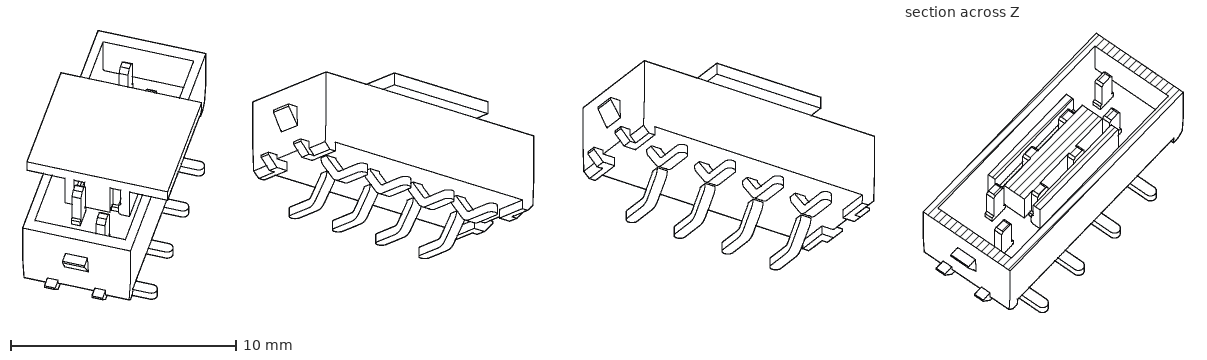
import cadquery as cq
import math

BODY_WIDTH = 4.99
BODY_LENGTH = 12.21
BODY_TOP = 4.58
BODY_BOTTOM = 1.4
DRAFT_START = 2.59
DRAFT_INSET = 0.08
CAVITY_WIDTH = 4.18
CAVITY_LENGTH = 11.04
CAVITY_FLOOR = 2.66
FLOOR_FILLET = 0.09

FOOT_BOTTOM = 0.99
FOOT_LENGTH = 0.61
FOOT_INNER_X = 0.85
FOOT_CHAMFER = 0.29
LATCH_REACH = 0.49
LATCH_LIP = 0.1
LATCH_WIDTH = 0.5
LATCH_TOP = 1.6
WEDGE_TOP = 3.5
WEDGE_TOP_WIDTH = 1.02
WEDGE_BASE_WIDTH = 1.1

CONTACT_ROW_LENGTH = 8.89
CONTACT_COUNT = 8
PITCH = CONTACT_ROW_LENGTH / (CONTACT_COUNT - 1)
CONTACT_X = 0.74
CONTACT_THICKNESS = 0.41
PIN_LENGTH = 0.71
PIN_TOP = BODY_TOP
PIN_BEVEL = 0.21
PIN_BASE_LENGTH = 0.94
PIN_BASE_TOP = 2.97
PIN_SHOULDER_DROP = 0.05
LEG_WIDTH = 0.53
LEG_SPAN = 6.5
LEG_BEND_RADIUS = 0.2
LEG_SLOPE = math.radians(51)

CAP_WIDTH = 6.5
CAP_LENGTH = 5.51
CAP_TOP = 5.15
COMB_WIDTH = 2.98
COMB_BOTTOM = 2.95
SLOT_INNER_X = 0.58
SLOT_OUTER_X = 1.08
GRIP_X = 0.98
GRIP_TOP = 3.63
GRIP_TOP_DROP = 0.1
GRIP_CHAMFER = 0.09


def box(x0, x1, y0, y1, z0, z1):
    return cq.Workplane("XY").box(x1 - x0, y1 - y0, z1 - z0, centered=False).translate((x0, y0, z0))


def extrude_along_x(points, width, x_center):
    """Extrude a (y, z) outline symmetrically about x_center."""
    return cq.Workplane("YZ").polyline(points).close().extrude(width / 2, both=True).translate((x_center, 0, 0))


def extrude_along_y(points, length):
    """Extrude an (x, z) outline symmetrically about y = 0."""
    return cq.Workplane("XZ").polyline(points).close().extrude(length / 2, both=True)


def make_housing():
    half_width = BODY_WIDTH / 2
    half_length = BODY_LENGTH / 2
    outline = [
        (-half_width, BODY_TOP),
        (half_width, BODY_TOP),
        (half_width, DRAFT_START),
        (half_width - DRAFT_INSET, FOOT_BOTTOM),
        (DRAFT_INSET - half_width, FOOT_BOTTOM),
        (-half_width, DRAFT_START),
    ]
    housing = extrude_along_y(outline, BODY_LENGTH)
    housing = housing.faces("<Z").edges("|X").chamfer(FOOT_CHAMFER)

    foot_start = half_length - FOOT_LENGTH
    housing = housing.cut(box(-half_width, half_width, -foot_start, foot_start, FOOT_BOTTOM, BODY_BOTTOM))
    housing = housing.cut(
        box(-FOOT_INNER_X, FOOT_INNER_X, -half_length, half_length, FOOT_BOTTOM, BODY_BOTTOM)
    )
    return housing.cut(make_cavity())


def make_cavity():
    half_width = CAVITY_WIDTH / 2
    half_length = CAVITY_LENGTH / 2
    cavity = box(-half_width, half_width, -half_length, half_length, CAVITY_FLOOR, BODY_TOP)
    return cavity.faces("<Z").edges("|Y").fillet(FLOOR_FILLET)


def make_foot_latch(x_center):
    """Hooked latch on the +Y end, filling the foot chamfer behind it."""
    wall = BODY_LENGTH / 2
    outline = [
        (wall - FOOT_LENGTH, FOOT_BOTTOM),
        (wall, FOOT_BOTTOM),
        (wall + LATCH_REACH, LATCH_TOP - LATCH_LIP),
        (wall + LATCH_REACH, LATCH_TOP),
        (wall - FOOT_LENGTH, LATCH_TOP),
    ]
    return extrude_along_x(outline, LATCH_WIDTH, x_center)


def make_end_wedge():
    """Wedge in the middle of the +Y end, narrowing toward its top."""
    wall = BODY_LENGTH / 2
    side = [
        (wall, DRAFT_START),
        (wall + LATCH_REACH, WEDGE_TOP - LATCH_LIP),
        (wall + LATCH_REACH, WEDGE_TOP),
        (wall, WEDGE_TOP),
    ]
    front = [
        (-WEDGE_BASE_WIDTH / 2, DRAFT_START),
        (WEDGE_BASE_WIDTH / 2, DRAFT_START),
        (WEDGE_TOP_WIDTH / 2, WEDGE_TOP),
        (-WEDGE_TOP_WIDTH / 2, WEDGE_TOP),
    ]
    full_length = BODY_LENGTH + 2 * LATCH_REACH
    return extrude_along_x(side, WEDGE_BASE_WIDTH, 0).intersect(extrude_along_y(front, full_length))


def make_leg():
    """Strip on the +X side that leaves the body downward and bends out to a flat tail."""
    radius = LEG_BEND_RADIUS + CONTACT_THICKNESS / 2
    turn = math.pi / 2 - LEG_SLOPE
    slope_start_x = CONTACT_X + radius * (1 - math.cos(turn))
    slope_start_z = BODY_BOTTOM - radius * math.sin(turn)
    tail_z = CONTACT_THICKNESS / 2
    slope_end_z = tail_z + radius * (1 - math.cos(LEG_SLOPE))
    slope_end_x = slope_start_x + (slope_start_z - slope_end_z) / math.tan(LEG_SLOPE)
    tail_start_x = slope_end_x + radius * math.sin(LEG_SLOPE)
    tail_end_x = LEG_SPAN / 2 - LEG_WIDTH / 2
    path = (
        cq.Workplane("XZ")
        .moveTo(CONTACT_X, CAVITY_FLOOR)
        .lineTo(CONTACT_X, BODY_BOTTOM)
        .tangentArcPoint((slope_start_x, slope_start_z), relative=False)
        .lineTo(slope_end_x, slope_end_z)
        .tangentArcPoint((tail_start_x, tail_z), relative=False)
        .lineTo(tail_end_x, tail_z)
    )
    section = cq.Workplane("XY", origin=(CONTACT_X, 0, CAVITY_FLOOR)).rect(CONTACT_THICKNESS, LEG_WIDTH)
    leg = section.sweep(path)
    rounded_tip = cq.Workplane("XY").circle(LEG_WIDTH / 2).extrude(CONTACT_THICKNESS)
    return leg.union(rounded_tip.translate((tail_end_x, 0, 0)))


def make_pin():
    """Contact blade standing on a longer base in the cavity, bevelled at its top."""
    half_length = PIN_LENGTH / 2
    half_base = PIN_BASE_LENGTH / 2
    right_side = [
        (half_base, CAVITY_FLOOR - CONTACT_THICKNESS),
        (half_base, PIN_BASE_TOP - PIN_SHOULDER_DROP),
        (half_length, PIN_BASE_TOP),
        (half_length, PIN_TOP - PIN_BEVEL),
        (half_length - PIN_BEVEL, PIN_TOP),
    ]
    left_side = [(-y, z) for y, z in reversed(right_side)]
    return extrude_along_x(right_side + left_side, CONTACT_THICKNESS, CONTACT_X)


def make_cap():
    """Flat plate resting on the housing, with a comb below it that straddles the pins."""
    half_length = CAP_LENGTH / 2
    cap = box(-CAP_WIDTH / 2, CAP_WIDTH / 2, -half_length, half_length, BODY_TOP, CAP_TOP)
    comb = box(-COMB_WIDTH / 2, COMB_WIDTH / 2, -half_length, half_length, COMB_BOTTOM, BODY_TOP)
    slot_outline = [
        (SLOT_INNER_X, BODY_TOP),
        (SLOT_OUTER_X, BODY_TOP),
        (SLOT_OUTER_X, GRIP_TOP),
        (GRIP_X, GRIP_TOP - GRIP_TOP_DROP),
        (GRIP_X, COMB_BOTTOM + GRIP_CHAMFER),
        (GRIP_X + GRIP_CHAMFER, COMB_BOTTOM),
        (SLOT_INNER_X, COMB_BOTTOM),
    ]
    slot = extrude_along_y(slot_outline, CAP_LENGTH)
    return cap.union(comb.cut(slot).cut(slot.mirror("YZ")))


result = make_housing()

latch_x = FOOT_INNER_X + LATCH_WIDTH / 2
end_features = make_end_wedge().union(make_foot_latch(latch_x)).union(make_foot_latch(-latch_x))
result = result.union(end_features).union(end_features.mirror("XZ"))

right_contact = make_leg().union(make_pin())
left_contact = right_contact.mirror("YZ")
for index in range(CONTACT_COUNT):
    contact = right_contact if index % 2 == 0 else left_contact
    contact_y = index * PITCH - CONTACT_ROW_LENGTH / 2
    result = result.union(contact.translate((0, contact_y, 0)))

result = result.union(make_cap())